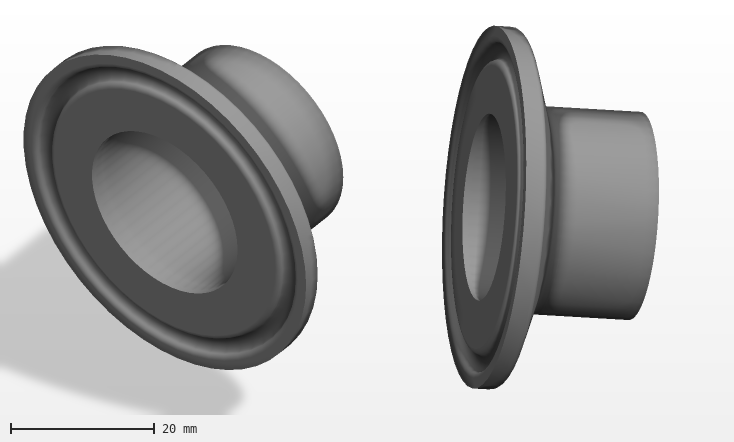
import cadquery as cq
import math

flange_radius = 25.25
length = 21.5
pipe_radius = 29.0 / 2
bore_radius = 26.0 / 2

cone_angle = math.radians(20)
rim_height = 2.25
rim_round = 0.8
neck_round = 2.0

groove_center_radius = 21.75
groove_radius = 1.2
groove_depth = 1.6
groove_edge_round = 0.8
groove_flank_angle = math.radians(20)


def revolve_about_y(profile):
    return profile.revolve(360, (0, 0, 0), (0, 1, 0))


def arc_point(center, radius, angle):
    return (center[0] + radius * math.cos(angle), center[1] + radius * math.sin(angle))


def make_body():
    """Pipe and flange with the rim and neck rounds tangent to the cone."""
    cone_normal = math.pi / 2 - cone_angle
    rim_center = (flange_radius - rim_round, rim_height)
    rim_end = arc_point(rim_center, rim_round, cone_normal)
    neck_center_x = pipe_radius + neck_round
    center_run = rim_center[0] - neck_center_x
    center_rise = center_run * math.tan(cone_angle) + (rim_round + neck_round) / math.cos(cone_angle)
    neck_center = (neck_center_x, rim_height + center_rise)
    neck_start = arc_point(neck_center, neck_round, cone_normal + math.pi)
    neck_middle = arc_point(neck_center, neck_round, (cone_normal + 2 * math.pi) / 2)
    profile = (
        cq.Workplane("XY")
        .moveTo(bore_radius, 0)
        .lineTo(flange_radius, 0)
        .lineTo(flange_radius, rim_height)
        .threePointArc(arc_point(rim_center, rim_round, cone_normal / 2), rim_end)
        .lineTo(*neck_start)
        .threePointArc(neck_middle, (pipe_radius, neck_center[1]))
        .lineTo(pipe_radius, length)
        .lineTo(bore_radius, length)
        .close()
    )
    return revolve_about_y(profile)


def make_groove():
    """Ring cutter: round bottom, short sloping flanks and rounded mouth edges."""
    rounds_total = groove_edge_round + groove_radius
    flank_rise = groove_depth - rounds_total * (1 - math.sin(groove_flank_angle))
    flank_run = flank_rise * math.tan(groove_flank_angle)
    edge_offset = rounds_total * math.cos(groove_flank_angle) + flank_run
    bottom_center = (groove_center_radius, groove_depth - groove_radius)
    inner_center = (groove_center_radius - edge_offset, groove_edge_round)
    outer_center = (groove_center_radius + edge_offset, groove_edge_round)
    edge_middle_angle = (math.pi / 2 + groove_flank_angle) / 2
    profile = (
        cq.Workplane("XY")
        .moveTo(inner_center[0], 0)
        .threePointArc(
            arc_point(inner_center, groove_edge_round, -edge_middle_angle),
            arc_point(inner_center, groove_edge_round, -groove_flank_angle),
        )
        .lineTo(*arc_point(bottom_center, groove_radius, math.pi - groove_flank_angle))
        .threePointArc(
            (groove_center_radius, groove_depth),
            arc_point(bottom_center, groove_radius, groove_flank_angle),
        )
        .lineTo(*arc_point(outer_center, groove_edge_round, math.pi + groove_flank_angle))
        .threePointArc(
            arc_point(outer_center, groove_edge_round, math.pi + edge_middle_angle),
            (outer_center[0], 0),
        )
        .close()
    )
    return revolve_about_y(profile)


result = make_body().cut(make_groove())